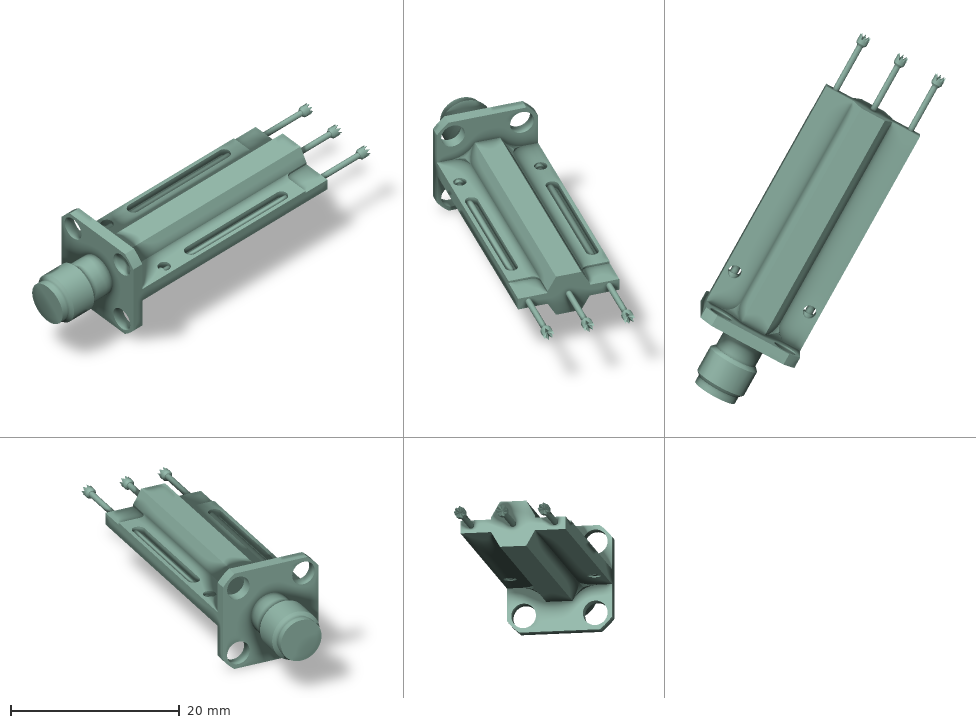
import cadquery as cq
import math


total_length = 46.5
flange_front = 8.0
flange_rear = 9.45
body_rear = 39.0

barrel_radius = 2.65
collar_radius = 3.15
collar_chamfer = 0.45
collar_front = 0.95
collar_rear = 5.05
cap_radius = collar_radius - collar_chamfer

flange_size = 12.7
flange_round_diameter = 16.0
bolt_spacing = 8.65
bolt_hole_diameter = 2.98

core_sides = 6
core_across_flats = 5.5
wing_thickness = 1.8
wing_top = wing_thickness / 2
hexagon_slope = math.sqrt(3)
core_corner = core_across_flats / hexagon_slope
core_edge_x = core_corner - wing_top / hexagon_slope

step_length = 3.5
step_depth = 0.3
step_corner_radius = 0.95

web_reach = 2.05

contact_pitch = 5.05
slot_width = 1.6
slot_front = 17.55
slot_rear = 33.6
cross_hole_y = 14.1
cross_hole_diameter = 1.6

plunger_diameter = 0.75
sleeve_diameter = 0.98
sleeve_front = 13.8
tail_diameter = 1.5
tail_length = 0.7
crown_diameter = 1.35
crown_length = 1.1
crown_neck_length = 0.3
crown_neck_diameter = 0.95
tooth_count = 8
tooth_depth = 0.7
cup_rim_diameter = 1.15
cup_depth = 0.7


def cylinder_along_y(diameter, y_start, y_end, x=0.0):
    """Round bar parallel to Y, centred on Z = 0."""
    origin = cq.Vector(x, y_start, 0)
    return cq.Workplane(cq.Solid.makeCylinder(diameter / 2, y_end - y_start, origin, cq.Vector(0, 1, 0)))


def xz_plane_at(y):
    """Section plane facing +Y, so that a positive extrusion runs rearwards."""
    return cq.Workplane(cq.Plane(origin=(0, y, 0), xDir=(-1, 0, 0), normal=(0, 1, 0)))


def make_connector():
    """Turned barrel, chamfered collar and end cap, revolved about Y."""
    profile = [
        (0, 0),
        (cap_radius, 0),
        (cap_radius, collar_front),
        (collar_radius, collar_front + collar_chamfer),
        (collar_radius, collar_rear - collar_chamfer),
        (cap_radius, collar_rear),
        (barrel_radius, collar_rear),
        (barrel_radius, flange_front),
        (0, flange_front),
    ]
    return cq.Workplane("XY").polyline(profile).close().revolve(360, (0, 0, 0), (0, 1, 0))


def make_flange():
    """Square plate with turned corners and four bolt holes."""
    thickness = flange_rear - flange_front
    square = xz_plane_at(flange_front).rect(flange_size, flange_size).extrude(thickness)
    turned = square.intersect(cylinder_along_y(flange_round_diameter, flange_front, flange_rear))
    bolt_holes = (
        xz_plane_at(flange_front)
        .rect(bolt_spacing, bolt_spacing, forConstruction=True)
        .vertices()
        .circle(bolt_hole_diameter / 2)
        .extrude(thickness)
    )
    return turned.cut(bolt_holes)


def make_body():
    """Hexagonal core with a flat wing on each side."""
    length = body_rear - flange_rear
    core = xz_plane_at(flange_rear).polygon(core_sides, 2 * core_corner).extrude(length)
    wings = xz_plane_at(flange_rear).rect(flange_size, wing_thickness).extrude(length)
    return core.union(wings)


def make_rear_step():
    """Cutter for the step in the top of the +X wing, rounded next to the core."""
    step_front = body_rear - step_length
    wing_edge = flange_size / 2
    return (
        cq.Workplane("XY", origin=(0, 0, wing_top - step_depth))
        .moveTo(wing_edge, body_rear)
        .lineTo(wing_edge, step_front)
        .lineTo(core_edge_x + step_corner_radius, step_front)
        .radiusArc((core_edge_x, step_front + step_corner_radius), step_corner_radius)
        .lineTo(core_edge_x, body_rear)
        .close()
        .extrude(step_depth)
    )


def make_corner_web():
    """Web between the +X wing top, the core and the flange.

    It is the overlap of three concave fillet sections, one along each axis,
    all reaching the same distance from the corner.
    """
    web_rear = flange_rear + web_reach
    outer_x = core_edge_x + web_reach
    slope_x = core_edge_x - web_reach / 2
    slope_z = wing_top + web_reach * hexagon_slope / 2
    plan = (
        cq.Workplane("XY")
        .moveTo(slope_x, flange_rear)
        .lineTo(outer_x, flange_rear)
        .radiusArc((core_edge_x, web_rear), web_reach)
        .lineTo(slope_x, web_rear)
        .close()
        .extrude(slope_z)
    )
    side = (
        cq.Workplane("YZ")
        .moveTo(flange_rear, 0)
        .lineTo(web_rear, 0)
        .lineTo(web_rear, wing_top)
        .radiusArc((flange_rear, slope_z), web_reach)
        .close()
        .extrude(outer_x)
    )
    section = (
        cq.Workplane("XZ", origin=(0, web_rear, 0))
        .moveTo(slope_x, 0)
        .lineTo(outer_x, 0)
        .lineTo(outer_x, wing_top)
        .radiusArc((slope_x, slope_z), web_reach * hexagon_slope)
        .close()
        .extrude(web_reach)
    )
    return plan.intersect(side).intersect(section)


def make_wing_slot():
    """Cutter for the blind slot in the +X wing, down to the contact axis."""
    return (
        cq.Workplane("XY")
        .center(contact_pitch, (slot_front + slot_rear) / 2)
        .slot2D(slot_rear - slot_front, slot_width, 90)
        .extrude(wing_top)
    )


def make_cross_hole():
    """Cutter for the hole through the +X wing."""
    return (
        cq.Workplane("XY", origin=(contact_pitch, cross_hole_y, -wing_top))
        .circle(cross_hole_diameter / 2)
        .extrude(wing_thickness)
    )


def make_crown():
    """Contact head on the Y axis: conical neck, hollow rim and a ring of pointed teeth."""
    crown_front = total_length - crown_length
    neck_front = crown_front - crown_neck_length
    neck = (
        xz_plane_at(neck_front)
        .circle(crown_neck_diameter / 2)
        .workplane(offset=crown_neck_length)
        .circle(crown_diameter / 2)
        .loft()
    )
    crown = neck.union(cylinder_along_y(crown_diameter, crown_front, total_length))
    cup = cq.Workplane(
        cq.Solid.makeCone(
            0,
            cup_rim_diameter / 2,
            cup_depth,
            cq.Vector(0, total_length - cup_depth, 0),
            cq.Vector(0, 1, 0),
        )
    )
    crown = crown.cut(cup)

    tooth_angle = 360 / tooth_count
    groove_half_width = crown_diameter / 2 * math.sin(math.radians(tooth_angle / 2))
    groove = (
        cq.Workplane("XY", origin=(0, 0, -crown_diameter / 2))
        .moveTo(-groove_half_width, total_length)
        .lineTo(0, total_length - tooth_depth)
        .lineTo(groove_half_width, total_length)
        .close()
        .extrude(crown_diameter)
    )
    for index in range(tooth_count // 2):
        crown = crown.cut(groove.rotate((0, 0, 0), (0, 1, 0), (index + 0.5) * tooth_angle))
    return crown


def make_contact(x):
    """Plunger and crown of one contact, starting inside the body."""
    plunger = cylinder_along_y(plunger_diameter, slot_rear, total_length - crown_length, x)
    return plunger.union(make_crown().translate((x, 0, 0)))


def make_sleeve():
    """Sleeve of the +X contact, seen in the slot and hole, with its wider tail."""
    sleeve = cylinder_along_y(sleeve_diameter, sleeve_front, slot_rear, contact_pitch)
    tail = cylinder_along_y(tail_diameter, sleeve_front - tail_length, sleeve_front, contact_pitch)
    return sleeve.union(tail)


def both_sides(shape):
    """The shape together with its mirror image across X = 0."""
    return shape.union(shape.mirror("YZ"))


upper_webs = both_sides(make_corner_web())
body = make_body().union(upper_webs).union(upper_webs.mirror("XY"))
for cutter in (make_rear_step(), make_wing_slot(), make_cross_hole()):
    body = body.cut(both_sides(cutter))
body = body.union(both_sides(make_sleeve()))

result = make_connector().union(make_flange()).union(body)
for contact_x in (-contact_pitch, 0, contact_pitch):
    result = result.union(make_contact(contact_x))